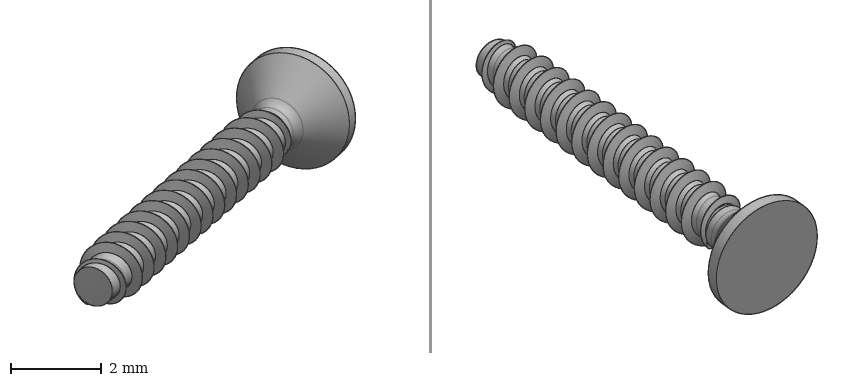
import cadquery as cq
import math

LENGTH = 10.0

HEAD_RADIUS = 1.4
RIM_HEIGHT = 0.3
CONE_END = 1.06

NECK_RADIUS = 0.53
NECK_FILLET_END = 1.33
NECK_END = 1.52
NECK_TAPER_END = 1.73
NECK_TAPER_RADIUS = 0.46

TIP_RISE = 0.05

PITCH = 0.57
TURNS = 17
HELIX_START = 0.88
HELIX_START_ANGLE = -90
STEPS_PER_TURN = 24

VALLEY_RADIUS = 0.47
RIDGE_BASE_RADIUS = 0.5
VALLEY_LEAD = 0.22

CREST_RADIUS = 0.72
LOWEST_CREST_RADIUS = 0.48
CREST_HALF_WIDTH = 0.005
HEAD_FLANK_SLOPE = 0.35
TIP_FLANK_SLOPE = 0.3
RUN_IN_END_TURN = 2.0
RUN_IN_RISE_PER_TURN = 0.14
RUN_OUT_START_TURN = 14.5
RUN_OUT_FALL_PER_TURN = 0.15
THREAD_FACE = 1.53
CLEARANCE = 0.01


def turned(outline):
    """Solid of revolution about Z from a closed half outline of (radius, height)."""
    return outline.close().revolve(360, (0, 0, 0), (0, 1, 0))


def make_head():
    """Head and neck, turned from one half outline."""
    fillet_length = NECK_FILLET_END - CONE_END
    cone_end_radius = HEAD_RADIUS - (CONE_END - RIM_HEIGHT)
    fillet_rise = cone_end_radius - NECK_RADIUS
    fillet_radius = (fillet_length**2 + fillet_rise**2) / (2 * fillet_rise)
    half_angle = math.asin(fillet_length / fillet_radius) / 2
    fillet_middle = (
        NECK_RADIUS + fillet_radius * (1 - math.cos(half_angle)),
        NECK_FILLET_END - fillet_radius * math.sin(half_angle),
    )
    return turned(
        cq.Workplane("YZ")
        .moveTo(0, 0)
        .lineTo(HEAD_RADIUS, 0)
        .lineTo(HEAD_RADIUS, RIM_HEIGHT)
        .lineTo(cone_end_radius, CONE_END)
        .threePointArc(fillet_middle, (NECK_RADIUS, NECK_FILLET_END))
        .lineTo(NECK_RADIUS, NECK_END)
        .lineTo(NECK_TAPER_RADIUS, NECK_TAPER_END)
        .lineTo(0, NECK_TAPER_END)
    )


def crest_radius(turn):
    """Crest radius after a number of turns: run-in, full height, run-out."""
    run_in = CREST_RADIUS - RUN_IN_RISE_PER_TURN * (RUN_IN_END_TURN - turn)
    run_out = CREST_RADIUS - RUN_OUT_FALL_PER_TURN * (turn - RUN_OUT_START_TURN)
    return max(min(run_in, CREST_RADIUS, run_out), LOWEST_CREST_RADIUS)


def thread_profile(turn):
    """Cross-section as (radius, height from the crest), from one valley to the next.

    The base of the ridge sinks to the valley along with the crest.
    """
    crest = crest_radius(turn)
    ridge_share = (crest - VALLEY_RADIUS) / (CREST_RADIUS - VALLEY_RADIUS)
    base = VALLEY_RADIUS + (RIDGE_BASE_RADIUS - VALLEY_RADIUS) * ridge_share
    ridge_height = crest - base
    return [
        (VALLEY_RADIUS, -VALLEY_LEAD),
        (base, -CREST_HALF_WIDTH - HEAD_FLANK_SLOPE * ridge_height),
        (crest, -CREST_HALF_WIDTH),
        (crest, CREST_HALF_WIDTH),
        (base, CREST_HALF_WIDTH + TIP_FLANK_SLOPE * ridge_height),
        (VALLEY_RADIUS, PITCH - VALLEY_LEAD),
    ]


def profile_points(turn):
    """Corners of the cross-section, wound to their place on the helix."""
    angle = math.radians(HELIX_START_ANGLE) + 2 * math.pi * turn
    crest_height = HELIX_START + PITCH * turn
    return [
        cq.Vector(radius * math.cos(angle), radius * math.sin(angle), crest_height + height)
        for radius, height in thread_profile(turn)
    ]


def on_axis(point):
    return cq.Vector(0, 0, point.z)


def end_faces(corners, valley):
    """Radial face through a cross-section, and the helicoid from the axis to a valley."""
    outline = [on_axis(corners[0])] + corners + [on_axis(corners[-1])]
    axis = cq.Edge.makeLine(on_axis(valley.startPoint()), on_axis(valley.endPoint()))
    return [
        cq.Face.makeFromWires(cq.Wire.makePolygon(outline, close=True)),
        cq.Face.makeRuledSurface(axis, valley),
    ]


def make_threaded_rod():
    """Right-handed threaded rod, skinned turn by turn between its helical corner curves."""
    faces = []
    valley = None
    for turn in range(TURNS):
        sections = [profile_points(turn + step / STEPS_PER_TURN) for step in range(STEPS_PER_TURN + 1)]
        curves = [cq.Edge.makeSpline(list(corner_path)) for corner_path in zip(*sections)]
        if turn == 0:
            faces += end_faces(sections[0], curves[0])
        else:
            curves[0] = valley
        faces += [cq.Face.makeRuledSurface(*pair) for pair in zip(curves, curves[1:])]
        valley = curves[-1]
    faces += end_faces(sections[-1], valley)
    return cq.Workplane(cq.Solid.makeSolid(cq.Shell.makeShell(faces)))


def make_rod_limit():
    """Turned blank: slim inside the neck, clear of the thread beyond it, with the tip face."""
    inside_neck = NECK_RADIUS - CLEARANCE
    clear_radius = CREST_RADIUS + CLEARANCE
    return turned(
        cq.Workplane("YZ").polyline(
            [
                (0, 0),
                (inside_neck, 0),
                (inside_neck, THREAD_FACE),
                (clear_radius, THREAD_FACE),
                (clear_radius, LENGTH - TIP_RISE),
                (0, LENGTH),
            ]
        )
    )


threaded_rod = make_threaded_rod().intersect(make_rod_limit())
screw = make_head().union(threaded_rod)
result = screw.rotate((0, 0, 0), (1, 0, 0), 90)